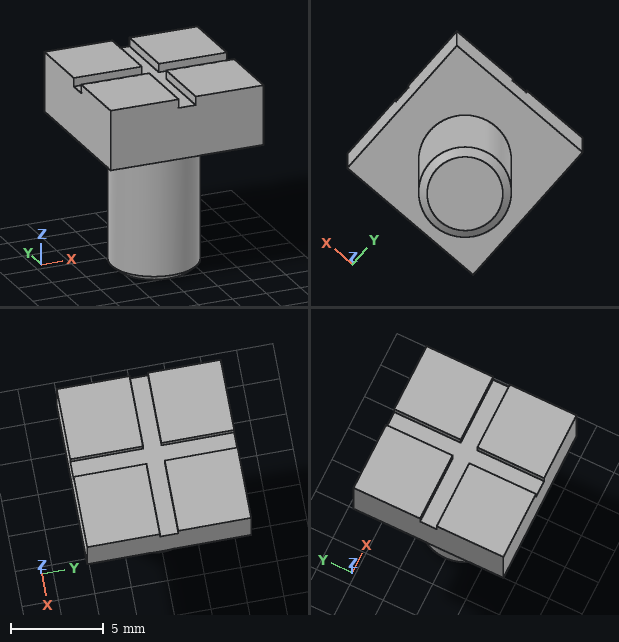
import cadquery as cq

total_height = 11.5
head_width = 9.0
head_height = 3.5
shank_diameter = 5.0
slot_width = 1.0
slot_depth = slot_width / 2
tip_chamfer_height = 0.38
tip_chamfer_inset = 0.46

shank_height = total_height - head_height
shank_radius = shank_diameter / 2


def make_shank():
    """Round shank with a chamfered lower tip, revolved about Z."""
    return (
        cq.Workplane("XZ")
        .lineTo(shank_radius - tip_chamfer_inset, 0)
        .lineTo(shank_radius, tip_chamfer_height)
        .lineTo(shank_radius, shank_height)
        .lineTo(0, shank_height)
        .close()
        .revolve(360, (0, 0), (0, 1))
    )


def make_head():
    """Square head with two crossed slots in its top face."""
    head = (
        cq.Workplane("XY")
        .workplane(offset=shank_height)
        .rect(head_width, head_width)
        .extrude(head_height)
    )
    for length_x, length_y in ((head_width, slot_width), (slot_width, head_width)):
        slot = (
            cq.Workplane("XY")
            .workplane(offset=total_height - slot_depth)
            .rect(length_x, length_y)
            .extrude(slot_depth)
        )
        head = head.cut(slot)
    return head


result = make_shank().union(make_head())